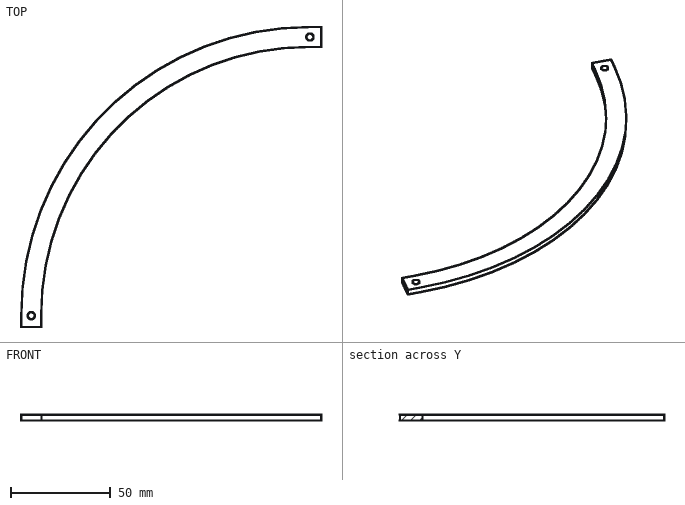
import cadquery as cq
import math

overall_span = 150.3
thickness = 3.0
band_width = 10.0
end_length = 6.3
hole_diameter = 3.5
hole_end_offset = 5.7

outer_radius = overall_span - end_length
inner_radius = outer_radius - band_width
middle_radius = outer_radius - band_width / 2


def arc_midpoint(radius):
    """Point halfway along the quarter arc, in the -X, +Y quadrant."""
    return (-radius * math.cos(math.pi / 4), radius * math.sin(math.pi / 4))


band = (
    cq.Workplane("XY")
    .moveTo(-outer_radius, -end_length)
    .lineTo(-outer_radius, 0)
    .threePointArc(arc_midpoint(outer_radius), (0, outer_radius))
    .lineTo(end_length, outer_radius)
    .lineTo(end_length, inner_radius)
    .lineTo(0, inner_radius)
    .threePointArc(arc_midpoint(inner_radius), (-inner_radius, 0))
    .lineTo(-inner_radius, -end_length)
    .close()
    .extrude(thickness)
)

hole_position = end_length - hole_end_offset
hole_centers = [
    (hole_position, middle_radius),
    (-middle_radius, -hole_position),
]
holes = (
    cq.Workplane("XY")
    .pushPoints(hole_centers)
    .circle(hole_diameter / 2)
    .extrude(thickness)
)

result = band.cut(holes)